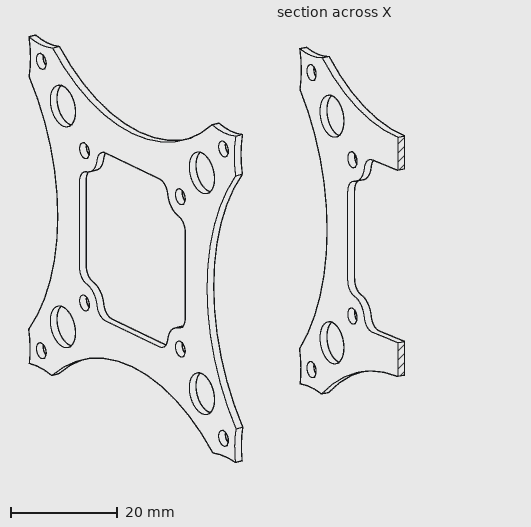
import cadquery as cq

thickness = 1.6
half_width = 33.0
top_z = 32.75
bottom_z = -32.95

top_shoulder_x = 25.35
top_corner_x = 32.95
upper_tip_x = 32.9
upper_tip_z = 24.75
lower_tip_z = -25.9
bottom_corner_x = 32.8
bottom_corner_z = -32.7
bottom_shoulder_x = 25.6

side_waist_x = 23.75
top_waist_z = 23.3
bottom_waist_z = -23.4

upper_hollow_depth = 0.45
lower_hollow_depth = 0.3

outer_hole_offset = 29.0
inner_hole_offset = 15.25
small_hole_diameter = 3.05
large_hole_offset = 22.1
large_hole_diameter = 8.0

window_size = 33.6
tab_radius = 4.1
window_fillet = 2.65


def square_corners(offset):
    """Corner points of a square centred on the hole pattern."""
    return [(x, z) for x in (-offset, offset) for z in (-offset, offset)]


def midpoint(start, end):
    return ((start[0] + end[0]) / 2, (start[1] + end[1]) / 2)


def mirrored(point):
    """The point on the other side of X = 0."""
    return (-point[0], point[1])


def make_plate():
    """Outline of arcs, clockwise from the top waist, extruded to the plate thickness."""
    top_shoulder = (top_shoulder_x, top_z)
    top_corner = (top_corner_x, top_z)
    upper_tip = (upper_tip_x, upper_tip_z)
    lower_tip = (half_width, lower_tip_z)
    bottom_corner = (bottom_corner_x, bottom_corner_z)
    bottom_shoulder = (bottom_shoulder_x, bottom_z)

    top_x, top_mid_z = midpoint(top_shoulder, top_corner)
    upper_mid_x, upper_z = midpoint(top_corner, upper_tip)
    side_z = midpoint(upper_tip, lower_tip)[1]
    lower_mid_x, lower_z = midpoint(lower_tip, bottom_corner)
    bottom_x, bottom_mid_z = midpoint(bottom_corner, bottom_shoulder)

    right_arcs = [
        ((top_x, top_mid_z - upper_hollow_depth), top_corner),
        ((upper_mid_x - upper_hollow_depth, upper_z), upper_tip),
        ((side_waist_x, side_z), lower_tip),
        ((lower_mid_x - lower_hollow_depth, lower_z), bottom_corner),
        ((bottom_x, bottom_mid_z + lower_hollow_depth), bottom_shoulder),
    ]
    outline = cq.Workplane("XZ").moveTo(-top_shoulder_x, top_z)
    outline = outline.threePointArc((0, top_waist_z), top_shoulder)
    for through, end in right_arcs:
        outline = outline.threePointArc(through, end)
    outline = outline.threePointArc((0, bottom_waist_z), mirrored(bottom_shoulder))

    left_ends = [top_shoulder] + [end for _, end in right_arcs[:-1]]
    for (through, _), end in zip(reversed(right_arcs), reversed(left_ends)):
        outline = outline.threePointArc(mirrored(through), mirrored(end))
    return outline.close().extrude(thickness)


def make_holes(offset, diameter):
    return cq.Workplane("XZ").pushPoints(square_corners(offset)).circle(diameter / 2).extrude(thickness)


def make_window():
    window = cq.Workplane("XZ").rect(window_size, window_size).extrude(thickness)
    window = window.cut(make_holes(inner_hole_offset, 2 * tab_radius))
    return window.edges("|Y").fillet(window_fillet)


result = (
    make_plate()
    .cut(make_window())
    .cut(make_holes(outer_hole_offset, small_hole_diameter))
    .cut(make_holes(inner_hole_offset, small_hole_diameter))
    .cut(make_holes(large_hole_offset, large_hole_diameter))
)